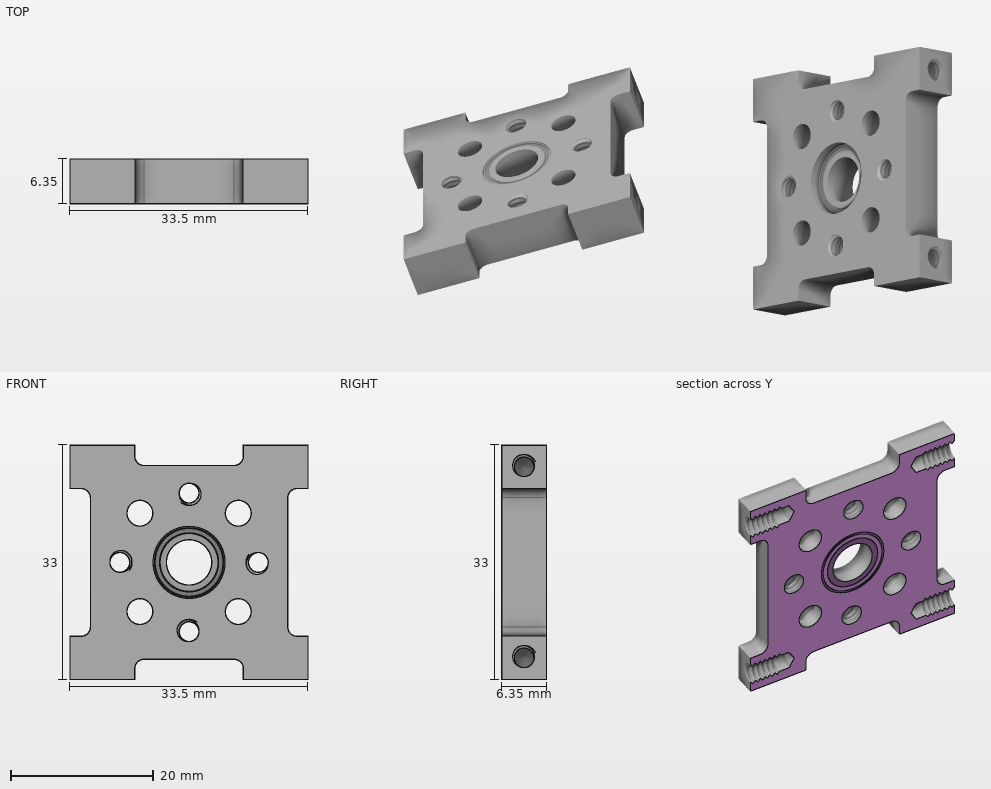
import cadquery as cq
import math

plate_width = 33.53
plate_height = 33.02
plate_thickness = 6.35
front_y = -plate_thickness / 2
notch_depth = 2.86
top_notch_width = 15.24
side_notch_width = 20.75
notch_corner_radius = 1.27

clearance_hole_diameter = 3.6
clearance_hole_spacing = 13.84
tapped_circle_radius = 9.75

thread_minor_diameter = 2.75
thread_major_diameter = 3.5
thread_pitch = 25.4 / 32
groove_mouth_width = 0.75 * thread_pitch
groove_root_width = thread_pitch / 8
groove_overlap = 0.1

through_thread_roll = 135

foot_height = (plate_height - side_notch_width) / 2
foot_hole_z = plate_height / 2 - foot_height / 2
foot_hole_depth = 6.35
foot_thread_length = 5.0
drill_point_angle = 118
foot_thread_roll = 160

bearing_recess = 1.4
bearing_width = plate_thickness - bearing_recess
bearing_bore_diameter = 6.35
bearing_outer_diameter = 10.16
inner_race_outer_diameter = 8.34
outer_race_inner_diameter = 9.56
inner_race_chamfer = 0.1
outer_race_chamfer = 0.2
shield_recess = 0.25


def thread_groove(length):
    """Helical groove along +Z from z = 0, starting on the +X side."""
    minor_radius = thread_minor_diameter / 2
    major_radius = thread_major_diameter / 2
    slope = (groove_mouth_width - groove_root_width) / 2 / (major_radius - minor_radius)
    inner_half_width = groove_mouth_width / 2 + slope * groove_overlap
    inner_radius = minor_radius - groove_overlap
    path = cq.Wire.makeHelix(thread_pitch, length, minor_radius)
    return (
        cq.Workplane("XZ")
        .moveTo(inner_radius, -inner_half_width)
        .lineTo(major_radius, -groove_root_width / 2)
        .lineTo(major_radius, groove_root_width / 2)
        .lineTo(inner_radius, inner_half_width)
        .close()
        .sweep(cq.Workplane(path), isFrenet=True)
    )


def cylinder_along_y(diameter, start_y, length):
    return (
        cq.Workplane("XZ", origin=(0, start_y, 0))
        .circle(diameter / 2)
        .extrude(-length)
    )


def through_tapped_hole():
    """Tools for a threaded hole along Y: a drill and a groove that runs out of both plate faces."""
    length = plate_thickness + 2 * thread_pitch
    drill = cylinder_along_y(thread_minor_diameter, -length / 2, length)
    groove = thread_groove(length).rotate((0, 0, 0), (1, 0, 0), -90).translate((0, -length / 2, 0))
    groove = groove.rotate((0, 0, 0), (0, 1, 0), through_thread_roll)
    drill = drill.rotate((0, 0, 0), (0, 1, 0), through_thread_roll - 90)
    return drill, groove


def foot_tapped_hole():
    """Tools for a blind threaded hole with a drill point, entering at x = 0 and running along +X."""
    radius = thread_minor_diameter / 2
    point_length = radius / math.tan(math.radians(drill_point_angle / 2))
    drill = (
        cq.Workplane("XY")
        .polyline([
            (0, 0),
            (0, radius),
            (foot_hole_depth, radius),
            (foot_hole_depth + point_length, 0),
        ])
        .close()
        .revolve(360, (0, 0, 0), (1, 0, 0))
    )
    groove = (
        thread_groove(foot_thread_length + thread_pitch)
        .translate((0, 0, -thread_pitch))
        .rotate((0, 0, 0), (0, 1, 0), 90)
        .rotate((0, 0, 0), (1, 0, 0), foot_thread_roll)
    )
    return drill, groove


def edge_notch(width, edge_distance):
    """Notch in the +Z edge at the given distance from the center, with rounded inner corners."""
    return (
        cq.Workplane("XY", origin=(0, 0, edge_distance))
        .box(width, plate_thickness, 2 * notch_depth)
        .faces("<Z")
        .edges("|Y")
        .fillet(notch_corner_radius)
    )


def make_plate():
    plate = cq.Workplane("XY").box(plate_width, plate_thickness, plate_height)

    top_notch = edge_notch(top_notch_width, plate_height / 2)
    side_notch = edge_notch(side_notch_width, plate_width / 2)
    for notch, angle in ((top_notch, 0), (side_notch, 90), (top_notch, 180), (side_notch, 270)):
        plate = plate.cut(notch.rotate((0, 0, 0), (0, 1, 0), angle))

    plate = plate.cut(cylinder_along_y(bearing_outer_diameter, front_y, plate_thickness))
    clearance_holes = (
        cq.Workplane("XZ", origin=(0, front_y, 0))
        .rect(clearance_hole_spacing, clearance_hole_spacing, forConstruction=True)
        .vertices()
        .circle(clearance_hole_diameter / 2)
        .extrude(-plate_thickness)
    )
    plate = plate.cut(clearance_holes)

    for tool in through_tapped_hole():
        placed = tool.translate((tapped_circle_radius, 0, 0))
        for angle in (0, 90, 180, 270):
            plate = plate.cut(placed.rotate((0, 0, 0), (0, 1, 0), angle))

    for tool in foot_tapped_hole():
        for z in (foot_hole_z, -foot_hole_z):
            placed = tool.translate((-plate_width / 2, 0, z))
            for turn in (0, 180):
                plate = plate.cut(placed.rotate((0, 0, 0), (0, 0, 1), turn))
    return plate


def bearing_ring(inner_diameter, outer_diameter, end_recess):
    """Ring of the bearing whose end faces lie the given distance inside the bearing ends."""
    start_y = front_y + bearing_recess + end_recess
    width = bearing_width - 2 * end_recess
    ring = cylinder_along_y(outer_diameter, start_y, width)
    return ring.cut(cylinder_along_y(inner_diameter, start_y, width))


def make_race(inner_diameter, outer_diameter, chamfer):
    """Full-width ring with both outer rims chamfered."""
    outer_rims = cq.selectors.RadiusNthSelector(-1)
    return bearing_ring(inner_diameter, outer_diameter, 0).edges(outer_rims).chamfer(chamfer)


plate = make_plate()
outer_race = make_race(outer_race_inner_diameter, bearing_outer_diameter, outer_race_chamfer)
inner_race = make_race(bearing_bore_diameter, inner_race_outer_diameter, inner_race_chamfer)
shield = bearing_ring(inner_race_outer_diameter, outer_race_inner_diameter, shield_recess)

result = cq.Compound.makeCompound([plate.val(), outer_race.val(), inner_race.val(), shield.val()])